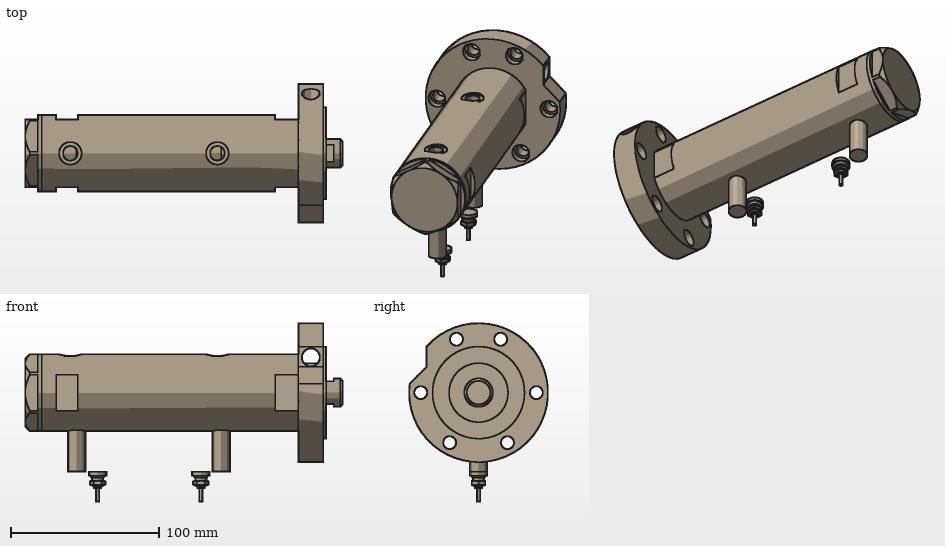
import cadquery as cq
import math


half_hex_angle = 30

overall_length = 214.5
hex_length = 8.5
cap_end_x = 11.1
wrench_flat_start_x = 20.8
wrench_flat_end_x = 35.5
flange_neck_start_x = 168.7
flange_start_x = 184.4
flange_end_x = 201.3
boss_end_x = 203.3

body_radius = 26.0
bore_radius = 20.0
flat_to_flat = 45.9
boss_radius = 31.0

flange_radius = 47.0
notch_y = -35.2
notch_corner_z = 17.4
bolt_circle_radius = 39.0
bolt_hole_diameter = 8.5
bolt_recess_diameter = 11.8
bolt_recess_depth = 6.0
bolt_angles = (0, 67.5, 112.5, 180, 240, 300)
cross_hole_diameter = 12.0
cross_hole_z = 23.8

port_positions_x = (30.5, 129.7)
port_diameter = 9.9
spot_face_diameter = 15.2
spot_face_depth = 1.3

hex_chamfer = 3.0
spigot_radius = 14.0
spigot_end_x = 34.3

rod_radius = 9.6
guide_start_x = 132.5
rod_flat_to_flat = 15.7
rod_flat_end_x = 208.2
rod_chamfer = 1.7

stem_positions_x = (34.7, 132.3)
stem_diameter = 12.0
stem_bottom_z = -53.4
plug_positions_x = (48.9, 118.5)
plug_top_z = stem_bottom_z
plug_bottom_z = -73.5
plug_head_radius = 6.0
plug_head_height = 2.5
plug_shoulder_radius = 5.1
plug_shoulder_height = 1.5
plug_neck_radius = 3.9
plug_neck_height = 2.0
plug_nut_flats = 9.2
plug_nut_height = 3.2
plug_nut_chamfer_height = 0.6
plug_nut_chamfer_width = 1.0
plug_collar_radius = 2.5
plug_collar_taper_height = 0.9
plug_collar_height = 1.0
plug_wire_radius = 1.18


def rod_along_x(radius, start_x, end_x):
    """A round bar on the X axis."""
    return cq.Workplane("YZ").workplane(offset=start_x).circle(radius).extrude(end_x - start_x)


def slab_across_y(width, start_x, end_x):
    """A slab of the given width in Y, taller than the body, used to cut a pair of flats."""
    height = 2 * flange_radius
    return cq.Workplane("YZ").workplane(offset=start_x).rect(width, height).extrude(end_x - start_x)


def make_flange():
    """The round flange with its rim notch and bolt holes."""
    disc = rod_along_x(flange_radius, flange_start_x, flange_end_x)

    notch_size = flange_radius + notch_y
    notch = (
        cq.Workplane("YZ")
        .workplane(offset=flange_start_x)
        .moveTo(notch_y, notch_corner_z)
        .lineTo(notch_y, flange_radius)
        .lineTo(notch_y - notch_size, flange_radius)
        .lineTo(notch_y - notch_size, notch_corner_z - notch_size)
        .close()
        .extrude(flange_end_x - flange_start_x)
    )
    flange = disc.cut(notch)

    bolt_points = [
        (
            bolt_circle_radius * math.cos(math.radians(angle)),
            bolt_circle_radius * math.sin(math.radians(angle)),
        )
        for angle in bolt_angles
    ]
    bolt_plane = cq.Workplane("YZ").workplane(offset=flange_start_x).pushPoints(bolt_points)
    holes = bolt_plane.circle(bolt_hole_diameter / 2).extrude(flange_end_x - flange_start_x)
    recesses = bolt_plane.circle(bolt_recess_diameter / 2).extrude(bolt_recess_depth)
    return flange.cut(holes).cut(recesses)


def make_body():
    """The barrel, neck, flange and boss in one piece, bored through from end to end."""
    barrel = rod_along_x(body_radius, cap_end_x, flange_start_x)

    for start_x, end_x in (
        (wrench_flat_start_x, wrench_flat_end_x),
        (flange_neck_start_x, flange_start_x),
    ):
        full_section = rod_along_x(body_radius, start_x, end_x)
        barrel = barrel.cut(full_section.cut(slab_across_y(flat_to_flat, start_x, end_x)))

    body = barrel.union(make_flange()).union(rod_along_x(boss_radius, flange_end_x, boss_end_x))
    body = body.cut(rod_along_x(bore_radius, cap_end_x, boss_end_x))

    cross_hole = (
        cq.Workplane("XZ")
        .center((flange_start_x + flange_end_x) / 2, cross_hole_z)
        .circle(cross_hole_diameter / 2)
        .extrude(flange_radius, both=True)
    )
    body = body.cut(cross_hole)

    for port_x in port_positions_x:
        port_plane = cq.Workplane("XY").center(port_x, 0)
        port = port_plane.circle(port_diameter / 2).extrude(body_radius)
        spot_face = (
            port_plane.workplane(offset=body_radius - spot_face_depth)
            .circle(spot_face_diameter / 2)
            .extrude(spot_face_depth)
        )
        body = body.cut(port).cut(spot_face)
    return body


def make_cap():
    """The end cap: hexagon head, round collar and a spigot inside the bore."""
    corner_diameter = flat_to_flat / math.cos(math.radians(half_hex_angle))
    hexagon = (
        cq.Workplane("YZ")
        .polygon(6, corner_diameter)
        .extrude(hex_length)
        .rotate((0, 0, 0), (1, 0, 0), half_hex_angle)
    )
    turned_blank = rod_along_x(body_radius, 0, hex_length).faces("<X").chamfer(hex_chamfer)
    collar = rod_along_x(body_radius, hex_length, cap_end_x)
    spigot = rod_along_x(spigot_radius, cap_end_x, spigot_end_x)
    return hexagon.intersect(turned_blank).union(collar).union(spigot)


def make_rod():
    """The rod, from the spigot of the cap to the tip, with a guide that fills the front of the bore."""
    rod = rod_along_x(rod_radius, spigot_end_x, overall_length).faces(">X").chamfer(rod_chamfer)
    guide = rod_along_x(bore_radius, guide_start_x, boss_end_x)

    flat_length = rod_flat_end_x - boss_end_x
    flat_depth = rod_radius - rod_flat_to_flat / 2
    for side in (1, -1):
        flat_cutter = cq.Workplane("XY").box(flat_length, 2 * rod_radius, flat_depth).translate(
            ((boss_end_x + rod_flat_end_x) / 2, 0, side * (rod_flat_to_flat + flat_depth) / 2)
        )
        rod = rod.cut(flat_cutter)
    return rod.union(guide)


def make_stem(stem_x):
    """A round stem whose upper end is shaped to sit on the underside of the body."""
    blank = (
        cq.Workplane("XY", origin=(stem_x, 0, stem_bottom_z))
        .circle(stem_diameter / 2)
        .extrude(-stem_bottom_z)
    )
    return blank.cut(rod_along_x(body_radius, cap_end_x, flange_start_x))


def make_plug(plug_x):
    """A cable plug: head, tapered shoulder, neck, chamfered hexagon nut, collar and wire."""
    shoulder_top_z = plug_top_z - plug_head_height
    neck_top_z = shoulder_top_z - plug_shoulder_height
    nut_top_z = neck_top_z - plug_neck_height
    nut_bottom_z = nut_top_z - plug_nut_height
    collar_top_z = nut_bottom_z - plug_collar_taper_height
    collar_bottom_z = collar_top_z - plug_collar_height

    turned_part = (
        cq.Workplane("XZ")
        .moveTo(0, plug_top_z)
        .lineTo(plug_head_radius, plug_top_z)
        .lineTo(plug_head_radius, shoulder_top_z)
        .lineTo(plug_shoulder_radius, shoulder_top_z)
        .lineTo(plug_neck_radius, neck_top_z)
        .lineTo(plug_neck_radius, nut_bottom_z)
        .lineTo(plug_collar_radius, collar_top_z)
        .lineTo(plug_collar_radius, collar_bottom_z)
        .lineTo(plug_wire_radius, collar_bottom_z)
        .lineTo(plug_wire_radius, plug_bottom_z)
        .lineTo(0, plug_bottom_z)
        .close()
        .revolve(360, (0, 0, 0), (0, 1, 0))
    )

    nut_corner_radius = plug_nut_flats / 2 / math.cos(math.radians(half_hex_angle))
    nut_base = cq.Workplane("XY").workplane(offset=nut_bottom_z)
    nut_blank = nut_base.circle(nut_corner_radius).extrude(plug_nut_height)
    for end_face in (">Z", "<Z"):
        nut_blank = nut_blank.faces(end_face).chamfer(plug_nut_chamfer_height, plug_nut_chamfer_width)
    nut = nut_base.polygon(6, 2 * nut_corner_radius).extrude(plug_nut_height).intersect(nut_blank)
    return turned_part.union(nut).translate((plug_x, 0, 0))


body = make_body()
cap = make_cap()
rod = make_rod()
stems = [make_stem(stem_x) for stem_x in stem_positions_x]
plugs = [make_plug(plug_x) for plug_x in plug_positions_x]

result = cq.Compound.makeCompound(
    [body.val(), cap.val(), rod.val()] + [piece.val() for piece in stems + plugs]
)